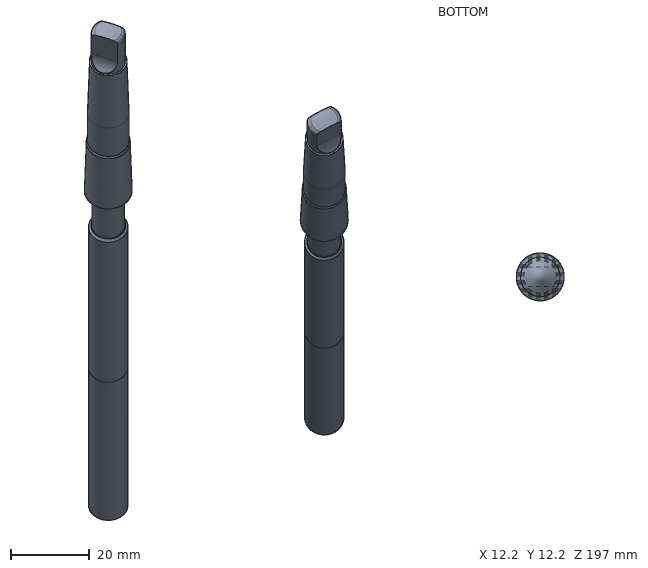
import cadquery as cq
import math

total_length = 197.0
head_top = 59.5
body_top = 117.2
taper_bottom = 131.5
relief_bottom = 152.0
relief_top = 163.7
tang_bottom = 184.4
tang_flat_bottom = 188.5

drill_diameter = 10.0
neck_diameter = 8.3
taper_large_diameter = 12.2
tang_diameter = 8.7
taper_rate = 0.05

point_angle = 118.0
body_chamfer = 0.5
neck_fillet = 1.8
collar_chamfer_height = 0.5
tang_thickness = 5.0
tang_runout_radius = 5.0
tang_edge_radius = 1.2
tang_dome_radius = 15.8

drill_radius = drill_diameter / 2
neck_radius = neck_diameter / 2
tang_radius = tang_diameter / 2
point_height = drill_radius / math.tan(math.radians(point_angle / 2))


def taper_radius(height):
    """Radius of the shank cone at a given height."""
    return (taper_large_diameter - taper_rate * (height - taper_bottom)) / 2


def make_cutting_head():
    """Cylindrical drill head with a conical point."""
    profile = [
        (0, 0),
        (drill_radius, point_height),
        (drill_radius, head_top),
        (0, head_top),
    ]
    return cq.Workplane("XZ").polyline(profile).close().revolve(360, (0, 0, 0), (0, 1, 0))


def dome_height(radius):
    """Height of the slightly domed tang end at a given distance from the axis."""
    drop = tang_dome_radius - math.sqrt(tang_dome_radius**2 - radius**2)
    return total_length - drop


def make_turned_shank():
    """Body, neck, relieved Morse taper and round tang, as one turned shape."""
    relief_radius = taper_radius(relief_top)
    collar_top = relief_bottom - collar_chamfer_height
    dome_edge_height = dome_height(tang_radius)
    dome_middle = (tang_radius / 2, dome_height(tang_radius / 2))
    rim = cq.selectors.BoxSelector(
        (-taper_large_diameter, -taper_large_diameter, dome_edge_height - tang_edge_radius),
        (taper_large_diameter, taper_large_diameter, (dome_edge_height + total_length) / 2),
    )
    neck_fillet_middle = neck_fillet * (1 - math.sqrt(0.5))
    return (
        cq.Workplane("XZ")
        .moveTo(0, head_top)
        .lineTo(drill_radius, head_top)
        .lineTo(drill_radius, body_top - body_chamfer)
        .lineTo(drill_radius - body_chamfer, body_top)
        .lineTo(neck_radius, body_top)
        .lineTo(neck_radius, taper_bottom - neck_fillet)
        .threePointArc(
            (neck_radius + neck_fillet_middle, taper_bottom - neck_fillet_middle),
            (neck_radius + neck_fillet, taper_bottom),
        )
        .lineTo(taper_radius(taper_bottom), taper_bottom)
        .lineTo(taper_radius(collar_top), collar_top)
        .lineTo(relief_radius, relief_bottom)
        .lineTo(relief_radius, relief_top)
        .lineTo(taper_radius(tang_bottom), tang_bottom)
        .lineTo(tang_radius, tang_bottom)
        .lineTo(tang_radius, dome_edge_height)
        .threePointArc(dome_middle, (0, total_length))
        .close()
        .revolve(360, (0, 0, 0), (0, 1, 0))
        .edges(rim)
        .fillet(tang_edge_radius)
    )


def make_tang_flat_cutter():
    """Material removed beside the +Y tang flat, ending in a concave runout."""
    flat_offset = tang_thickness / 2
    runout_middle = tang_runout_radius * math.sqrt(0.5)
    arc_center = flat_offset + tang_runout_radius
    return (
        cq.Workplane("YZ")
        .moveTo(flat_offset, total_length)
        .lineTo(flat_offset, tang_flat_bottom)
        .threePointArc(
            (arc_center - runout_middle, tang_flat_bottom - runout_middle),
            (arc_center, tang_flat_bottom - tang_runout_radius),
        )
        .lineTo(arc_center, total_length)
        .close()
        .extrude(tang_diameter, both=True)
    )


def make_shank():
    """Turned shank with two opposite driving flats on the tang."""
    flat_cutter = make_tang_flat_cutter()
    return make_turned_shank().cut(flat_cutter).cut(flat_cutter.mirror("XZ"))


cutting_head = make_cutting_head()
shank = make_shank()

result = cq.Compound.makeCompound([cutting_head.val(), shank.val()])